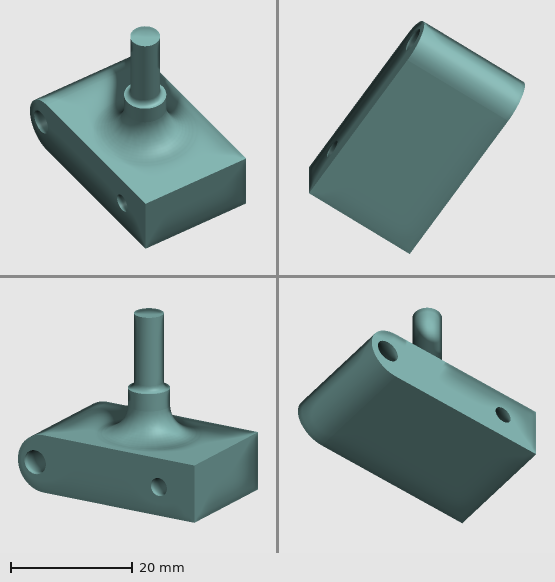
import cadquery as cq
import math

block_length = 34.27
block_width = 20.0
block_height = 10.0
end_radius = block_height / 2

pivot_hole_diameter = 4.15
pivot_hole_x = 3.35
pin_hole_diameter = 3.12
pin_hole_x = 27.38

total_height = 31.0
post_x = 19.25
post_radius = 2.47
shoulder_fillet = 1.03
collar_radius = post_radius + shoulder_fillet
collar_height = 3.0
flare_radius = 5.0


def make_block():
    """Rounded-end bar, extruded symmetrically about Y = 0."""
    return (
        cq.Workplane("XZ")
        .moveTo(end_radius, 0)
        .lineTo(block_length, 0)
        .lineTo(block_length, block_height)
        .lineTo(end_radius, block_height)
        .threePointArc((0, end_radius), (end_radius, 0))
        .close()
        .extrude(block_width / 2, both=True)
    )


def concave_middle(center_r, center_z, radius):
    """Midpoint of the quarter arc facing down and towards the post axis."""
    offset = radius * math.sqrt(0.5)
    return (center_r - offset, center_z - offset)


def make_post():
    """Revolved post: concave flare, collar, filleted shoulder and plain shank."""
    flare_base_radius = collar_radius + flare_radius
    flare_top = block_height + flare_radius
    collar_top = flare_top + collar_height
    shank_bottom = collar_top + shoulder_fillet
    root = end_radius
    return (
        cq.Workplane("XZ")
        .moveTo(0, root)
        .lineTo(flare_base_radius, root)
        .lineTo(flare_base_radius, block_height)
        .threePointArc(
            concave_middle(flare_base_radius, flare_top, flare_radius),
            (collar_radius, flare_top),
        )
        .lineTo(collar_radius, collar_top)
        .threePointArc(
            concave_middle(collar_radius, shank_bottom, shoulder_fillet),
            (post_radius, shank_bottom),
        )
        .lineTo(post_radius, total_height)
        .lineTo(0, total_height)
        .close()
        .revolve(360, (0, 0, 0), (0, 1, 0))
        .translate((post_x, 0, 0))
    )


def make_cross_hole(x, diameter):
    """Cutter for a hole through the full width at mid-height."""
    return (
        cq.Workplane("XZ")
        .center(x, block_height / 2)
        .circle(diameter / 2)
        .extrude(block_width, both=True)
    )


result = make_block().union(make_post())
for hole_x, hole_diameter in (
    (pivot_hole_x, pivot_hole_diameter),
    (pin_hole_x, pin_hole_diameter),
):
    result = result.cut(make_cross_hole(hole_x, hole_diameter))